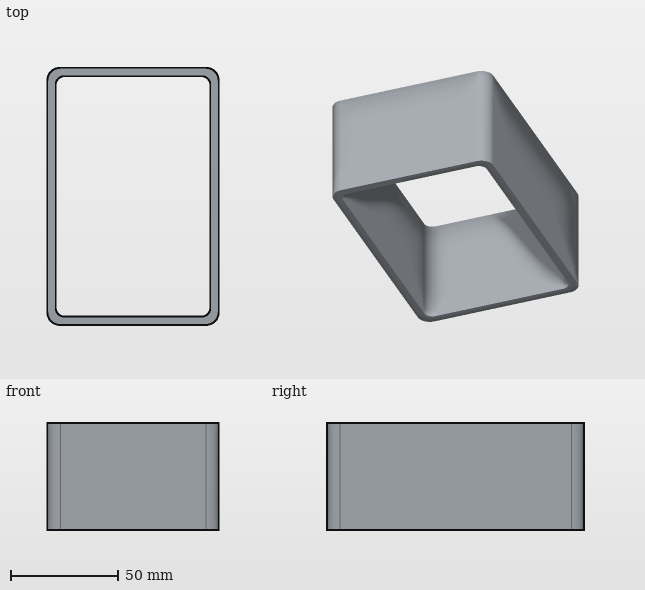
import cadquery as cq

length_x = 80.0
length_y = 120.0
height = 50.0
wall = 4.0
outer_corner_radius = 6.0
inner_corner_radius = 4.0


def rounded_block(size_x, size_y, corner_radius):
    """Block of full height with its four vertical edges rounded."""
    block = cq.Workplane("XY").rect(size_x, size_y).extrude(height)
    return block.edges("|Z").fillet(corner_radius)


outer_body = rounded_block(length_x, length_y, outer_corner_radius)
through_opening = rounded_block(
    length_x - 2 * wall,
    length_y - 2 * wall,
    inner_corner_radius,
)

result = outer_body.cut(through_opening)